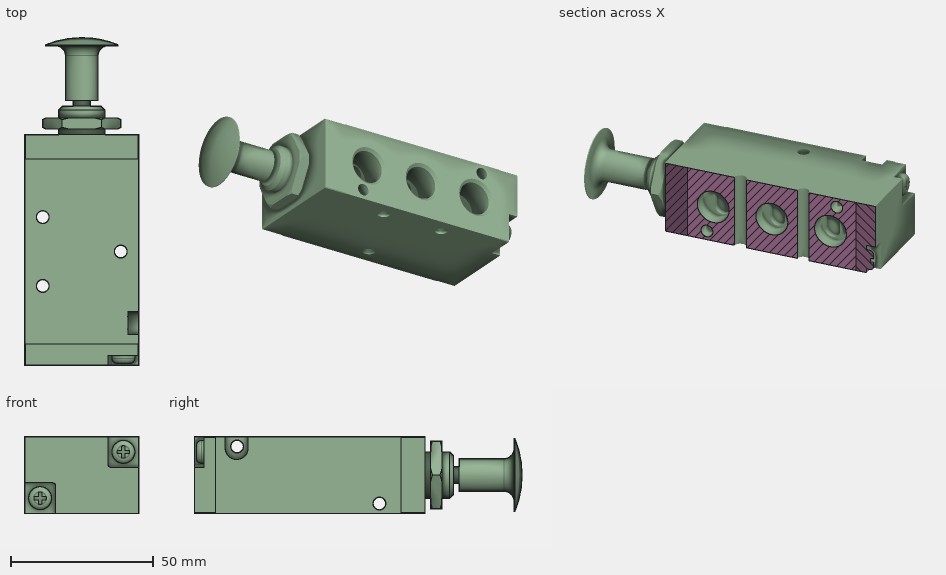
import cadquery as cq
import math


OVERREACH = 1.2

WIDTH = 40.0
HEIGHT = 27.0
FRONT_CAP_LENGTH = 7.5
BODY_LENGTH = 65.0
REAR_CAP_LENGTH = 8.5
CAP_EDGE_CHAMFER = 0.29
BODY_START = FRONT_CAP_LENGTH
BODY_END = BODY_START + BODY_LENGTH
BLOCK_END = BODY_END + REAR_CAP_LENGTH
BODY_MIDDLE = BODY_START + BODY_LENGTH / 2

PORT_PITCH = 22.5
PORT_DIAMETER = 12.1
PORT_CHAMFER = 1.0
PORT_DEPTH = 11.5
SLOT_PITCH = 21.2
SLOT_WIDTH = 5.8
SLOT_HEIGHT = 10.1
SLOT_DEPTH = 2.3

MOUNTING_HOLE_DIAMETER = 4.4
TOP_HOLE_X = 13.7
TOP_HOLE_PITCH = 12.1
SIDE_HOLE_Y = 25.0
SIDE_HOLE_Z = 10.0

NOTCH_Y = 14.8
NOTCH_WIDTH = 8.0
NOTCH_DEPTH = 3.8
NOTCH_WALL_HEIGHT = NOTCH_WIDTH / 2

POCKET_SIZE = 10.8
POCKET_DEPTH = 3.5
POCKET_CORNER_RADIUS = 1.0
HEAD_DIAMETER = 8.0
HEAD_HEIGHT = 2.8
HEAD_FILLET = 1.8
HEAD_X = (WIDTH - POCKET_SIZE) / 2
HEAD_Z = (HEIGHT - POCKET_SIZE) / 2
CROSS_SPAN = HEAD_DIAMETER - 2 * HEAD_FILLET
CROSS_ARM_WIDTH = 1.2
CROSS_DEPTH = 1.2

NECK_DIAMETER = 16.3
NECK_LENGTH = 10.0
NECK_CHAMFER = 1.4
NECK_END = BLOCK_END + NECK_LENGTH
NUT_GAP = 2.0
NUT_THICKNESS = 3.9
NUT_ACROSS_FLATS = 23.8
NUT_ACROSS_CORNERS = NUT_ACROSS_FLATS / math.cos(math.pi / 6)
NUT_FACE_DIAMETER = 25.3
NUT_CHAMFER_ANGLE = math.pi / 6

TOTAL_LENGTH = 115.0
ROD_RADIUS = 3.0
ROD_LENGTH = 2.0
STEM_RADIUS = 5.8
KNOB_RADIUS = 12.8
KNOB_RIM = 0.3
KNOB_UNDERSIDE = 112.1
FLARE_RADIUS = 3.5


def block(start, length):
    """Rectangular block of the full section, from Y = start."""
    return cq.Workplane("XY").box(WIDTH, length, HEIGHT).translate((0, start + length / 2, 0))


def rod_along_y(diameter, start, length):
    """Round bar on the Y axis, from Y = start."""
    return cq.Workplane("XZ", origin=(0, start, 0)).circle(diameter / 2).extrude(-length)


def cap_block(start, length):
    """End cap blank with its four long edges chamfered."""
    return block(start, length).edges("|Y").chamfer(CAP_EDGE_CHAMFER)


def port(port_y, slot_y):
    """Cutter for one port: chamfered round bore with a slot in its floor."""
    face_x = -WIDTH / 2
    bore = cq.Workplane("YZ", origin=(face_x, port_y, 0)).circle(PORT_DIAMETER / 2).extrude(PORT_DEPTH)
    mouth = cq.Solid.makeCone(
        PORT_DIAMETER / 2 + PORT_CHAMFER, PORT_DIAMETER / 2, PORT_CHAMFER,
        cq.Vector(face_x, port_y, 0), cq.Vector(1, 0, 0))
    slot = (
        cq.Workplane("YZ", origin=(face_x + PORT_DEPTH, slot_y, 0))
        .slot2D(SLOT_HEIGHT, SLOT_WIDTH, 90).extrude(SLOT_DEPTH)
    )
    floor = (
        cq.Workplane("YZ", origin=(face_x + PORT_DEPTH, port_y, 0))
        .circle(PORT_DIAMETER / 2).extrude(SLOT_DEPTH)
    )
    return bore.union(mouth).union(slot.intersect(floor))


def notch():
    """Cutter for the U-shaped notch: straight side walls and a half-round bottom."""
    half_width = NOTCH_WIDTH / 2
    top_z = HEIGHT / 2 + OVERREACH
    arc_z = HEIGHT / 2 - NOTCH_WALL_HEIGHT
    return (
        cq.Workplane("YZ", origin=(WIDTH / 2 - NOTCH_DEPTH, NOTCH_Y, 0))
        .moveTo(-half_width, top_z)
        .lineTo(-half_width, arc_z)
        .threePointArc((0, arc_z - half_width), (half_width, arc_z))
        .lineTo(half_width, top_z)
        .close()
        .extrude(NOTCH_DEPTH + OVERREACH)
    )


def make_valve_body():
    body = block(BODY_START, BODY_LENGTH)
    for step in (-1, 0, 1):
        body = body.cut(port(BODY_MIDDLE + step * PORT_PITCH, BODY_MIDDLE + step * SLOT_PITCH))

    top_holes = (
        cq.Workplane("XY")
        .pushPoints([
            (-TOP_HOLE_X, BODY_MIDDLE - TOP_HOLE_PITCH),
            (TOP_HOLE_X, BODY_MIDDLE),
            (-TOP_HOLE_X, BODY_MIDDLE + TOP_HOLE_PITCH),
        ])
        .circle(MOUNTING_HOLE_DIAMETER / 2).extrude(HEIGHT, both=True)
    )
    side_holes = (
        cq.Workplane("YZ")
        .pushPoints([
            (BODY_MIDDLE - SIDE_HOLE_Y, SIDE_HOLE_Z),
            (BODY_MIDDLE + SIDE_HOLE_Y, -SIDE_HOLE_Z),
        ])
        .circle(MOUNTING_HOLE_DIAMETER / 2).extrude(WIDTH, both=True)
    )
    return body.cut(top_holes).cut(side_holes).cut(notch())


def screw_pocket(side):
    """Cutter for the pocket in the (+X, +Z) corner for side = 1, (-X, -Z) for side = -1."""
    size = POCKET_SIZE + OVERREACH
    depth = POCKET_DEPTH + OVERREACH
    offset = OVERREACH / 2
    return (
        cq.Workplane("XY").box(size, depth, size)
        .edges("|Y").fillet(POCKET_CORNER_RADIUS)
        .translate((side * (HEAD_X + offset), POCKET_DEPTH - depth / 2, side * (HEAD_Z + offset)))
    )


def screw_head(side):
    """Domed screw head with a cross recess, standing on a pocket floor."""
    top_y = POCKET_DEPTH - HEAD_HEIGHT
    head = rod_along_y(HEAD_DIAMETER, top_y, HEAD_HEIGHT).faces("<Y").edges().fillet(HEAD_FILLET)
    cross = (
        cq.Workplane("XZ", origin=(0, top_y, 0))
        .rect(CROSS_SPAN, CROSS_ARM_WIDTH).extrude(-CROSS_DEPTH)
        .union(
            cq.Workplane("XZ", origin=(0, top_y, 0))
            .rect(CROSS_ARM_WIDTH, CROSS_SPAN).extrude(-CROSS_DEPTH)
        )
        .intersect(rod_along_y(CROSS_SPAN, top_y, CROSS_DEPTH))
    )
    return head.cut(cross).translate((side * HEAD_X, 0, side * HEAD_Z))


def make_front_cap():
    cap = cap_block(0, FRONT_CAP_LENGTH)
    for side in (-1, 1):
        cap = cap.cut(screw_pocket(side)).union(screw_head(side))
    return cap


def hexagon_nut():
    """Hexagon with corners on the X axis, its corners chamfered on both faces."""
    start = BLOCK_END + NUT_GAP
    hexagon = (
        cq.Workplane("XZ", origin=(0, start, 0))
        .polygon(6, NUT_ACROSS_CORNERS).extrude(-NUT_THICKNESS)
    )
    corner_inset = (NUT_ACROSS_CORNERS - NUT_FACE_DIAMETER) / 2
    corner_envelope = (
        rod_along_y(NUT_ACROSS_CORNERS, start, NUT_THICKNESS)
        .faces("<Y or >Y").edges()
        .chamfer(corner_inset * math.tan(NUT_CHAMFER_ANGLE), corner_inset)
    )
    return hexagon.intersect(corner_envelope)


def make_rear_cap():
    neck = rod_along_y(NECK_DIAMETER, BLOCK_END, NECK_LENGTH).faces(">Y").edges().chamfer(NECK_CHAMFER)
    return cap_block(BODY_END, REAR_CAP_LENGTH).union(neck).union(hexagon_nut())


def make_plunger():
    stem_start = NECK_END + ROD_LENGTH
    rim_top = KNOB_UNDERSIDE + KNOB_RIM
    dome_height = TOTAL_LENGTH - rim_top
    dome_radius = (KNOB_RADIUS ** 2 + dome_height ** 2) / (2 * dome_height)
    dome_middle_x = KNOB_RADIUS / 2
    dome_middle_y = TOTAL_LENGTH - dome_radius + math.sqrt(dome_radius ** 2 - dome_middle_x ** 2)
    flare_mid = FLARE_RADIUS * (1 - math.sqrt(0.5))
    return (
        cq.Workplane("XY")
        .moveTo(0, NECK_END)
        .lineTo(ROD_RADIUS, NECK_END)
        .lineTo(ROD_RADIUS, stem_start)
        .lineTo(STEM_RADIUS, stem_start)
        .lineTo(STEM_RADIUS, KNOB_UNDERSIDE - FLARE_RADIUS)
        .threePointArc(
            (STEM_RADIUS + flare_mid, KNOB_UNDERSIDE - flare_mid),
            (STEM_RADIUS + FLARE_RADIUS, KNOB_UNDERSIDE))
        .lineTo(KNOB_RADIUS, KNOB_UNDERSIDE)
        .lineTo(KNOB_RADIUS, rim_top)
        .threePointArc((dome_middle_x, dome_middle_y), (0, TOTAL_LENGTH))
        .close()
        .revolve(360, (0, 0, 0), (0, 1, 0))
    )


valve_body = make_valve_body()
front_cap = make_front_cap()
rear_cap = make_rear_cap()
plunger = make_plunger()

result = cq.Compound.makeCompound([
    valve_body.val(),
    front_cap.val(),
    rear_cap.val(),
    plunger.val(),
])